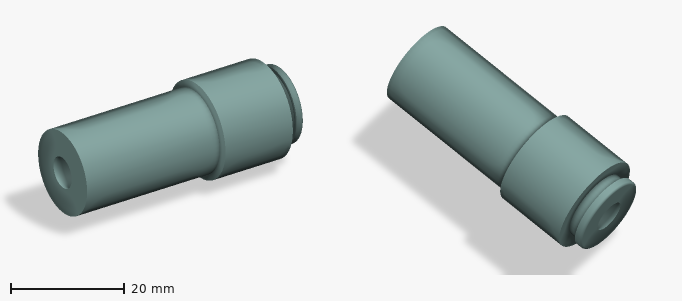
import cadquery as cq

length = 45.7
body_diameter = 18.5
stem_diameter = 16.1
neck_diameter = 13.15
collar_diameter = 14.7
bore_diameter = 6.0

stem_length = 27.7
body_length = 14.55
collar_length = 1.45
collar_edge_radius = 0.4
body_chamfer_length = 0.45

stem_end = -length / 2
body_start = stem_end + stem_length
body_end = body_start + body_length
collar_end = length / 2
collar_start = collar_end - collar_length


def cylinder(diameter, start, end):
    """Solid cylinder on the Y axis between two Y positions."""
    plane = cq.Workplane("XZ", origin=(0, start, 0))
    return plane.circle(diameter / 2).extrude(start - end)


stem = cylinder(stem_diameter, stem_end, body_start)
neck = cylinder(neck_diameter, body_end, collar_start)

body_chamfer_depth = (body_diameter - stem_diameter) / 2
body = (
    cylinder(body_diameter, body_start, body_end)
    .faces("<Y")
    .chamfer(body_chamfer_length, body_chamfer_depth)
)
collar = (
    cylinder(collar_diameter, collar_start, collar_end)
    .faces(">Y")
    .edges()
    .fillet(collar_edge_radius)
)

bore = cylinder(bore_diameter, stem_end, collar_end)
result = stem.union(body).union(neck).union(collar).cut(bore)